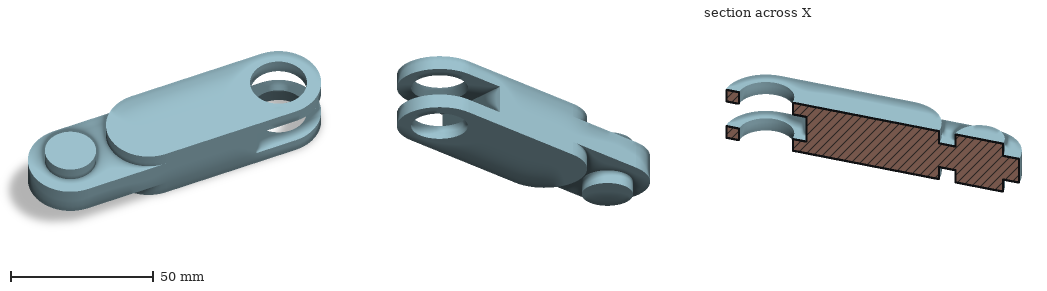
import cadquery as cq

length = 110.0
width = 30.0
height = 20.0
tongue_thickness = 10.0
cheek_length = 80.0
fork_depth = 30.0
hole_diameter = 20.0
pin_diameter = 18.0

end_radius = width / 2
fork_end = length / 2
pin_end = -length / 2
hole_y = fork_end - end_radius
pin_y = pin_end + end_radius


def rounded_bar(y_min, y_max, thickness):
    """Bar along Y with full-round ends, centred on Z = 0."""
    return (
        cq.Workplane("XY")
        .center(0, (y_min + y_max) / 2)
        .slot2D(y_max - y_min, width, 90)
        .extrude(thickness / 2, both=True)
    )


def cylinder(y, diameter):
    """Full-height vertical cylinder, centred on Z = 0."""
    return cq.Workplane("XY").center(0, y).circle(diameter / 2).extrude(height / 2, both=True)


cheeks = rounded_bar(fork_end - cheek_length, fork_end, height)
tongue = rounded_bar(pin_end, fork_end, tongue_thickness)
body = cheeks.union(tongue)

fork_gap = (
    cq.Workplane("XY")
    .center(0, fork_end - fork_depth / 2)
    .box(width, fork_depth, tongue_thickness)
)

hole = cylinder(hole_y, hole_diameter)
pin = cylinder(pin_y, pin_diameter)

result = body.cut(fork_gap).cut(hole).union(pin)